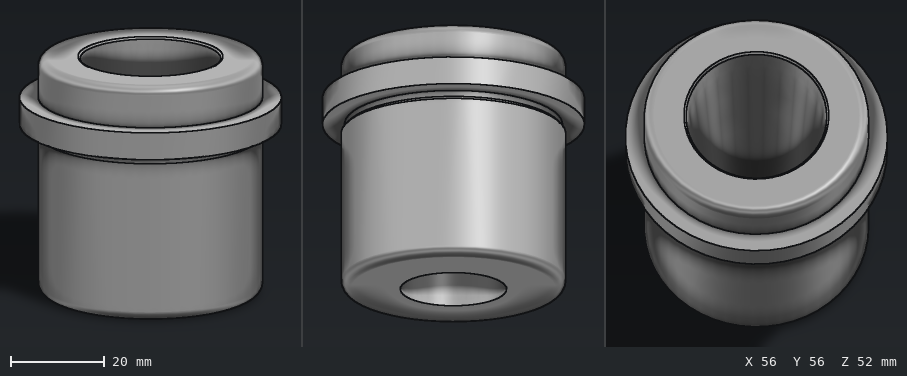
import cadquery as cq

height = 52.0
collar_height = 9.0
flange_top = height - collar_height
flange_thickness = 6.0
flange_bottom = flange_top - flange_thickness
groove_width = 2.0

flange_diameter = 56.0
body_diameter = 48.0
groove_diameter = 46.6
rim_fillet = 2.0

mouth_chamfer = 0.45
mouth_diameter = 30.05
exit_diameter = 22.65

groove_bevel = (body_diameter - groove_diameter) / 2
body = cq.Workplane("XY").circle(body_diameter / 2).extrude(height)
body = body.faces("<Z or >Z").edges().fillet(rim_fillet)

flange = (
    cq.Workplane("XY")
    .workplane(offset=flange_bottom)
    .circle(flange_diameter / 2)
    .extrude(flange_thickness)
)

groove_bottom = flange_bottom - groove_width
groove = (
    cq.Workplane("XZ")
    .moveTo(body_diameter / 2, groove_bottom)
    .lineTo(groove_diameter / 2, groove_bottom + groove_bevel)
    .lineTo(groove_diameter / 2, flange_bottom)
    .lineTo(flange_diameter / 2, flange_bottom)
    .lineTo(flange_diameter / 2, groove_bottom)
    .close()
    .revolve(360, (0, 0, 0), (0, 1, 0))
)

bore = (
    cq.Workplane("XZ")
    .lineTo(exit_diameter / 2, 0)
    .lineTo(mouth_diameter / 2, height - mouth_chamfer)
    .lineTo(mouth_diameter / 2 + mouth_chamfer, height)
    .lineTo(0, height)
    .close()
    .revolve(360, (0, 0, 0), (0, 1, 0))
)

result = body.union(flange).cut(groove).cut(bore)